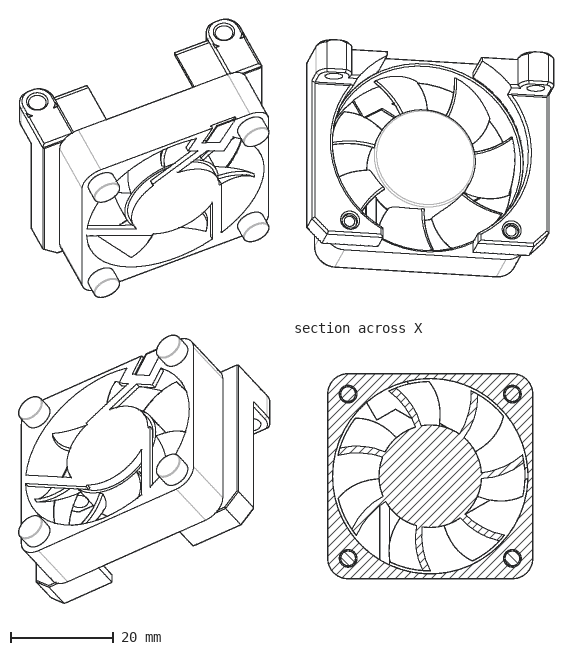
import cadquery as cq
import math


frame_size = 40.0
frame_depth = 10.5
corner_radius = 4.0
hole_pitch = 32.0
frame_hole_diameter = 3.4
bore_diameter = 38.0
bore_chamfer = 0.38

wire_angle = 60
wire_slot_width = 4.4
wire_slot_depth = 0.65
wire_slot_inner_radius = 16.9
wire_slot_offset = 0.9
wire_cover_width = 3.55
wire_cover_thickness = 0.2
wire_pad_width = 8.95
wire_pad_inner_radius = 14.65
wire_pad_thickness = 0.95

strut_count = 3
strut_width = 1.97
strut_thickness = 0.95
strut_offset = 8.9
motor_diameter = 18.8
motor_depth = 1.9
hub_diameter = 20.0
hub_fillet = 0.38

blade_count = 7
blade_angle = 27
blade_tip_diameter = 36.95
blade_thickness = 0.65
blade_bulge = 1.18
blade_sections = [
    (8.45, (-1.85, 1.6), (3.4, 8)),
    (13.65, (-3.45, 1.6), (4.55, 8)),
    (19.25, (-7.85, 1.6), (2.8, 8)),
]

bracket_inner_y = 9.4
bracket_outer_y = 23.5
bracket_bottom_z = -19.0
bracket_top_z = 18.0
bracket_corner_cut = 3.0
bracket_bore_diameter = 38.8
plate_depth = 6.2
block_depth = 10.5
block_bottom_z = 12.0
block_slope_depth = 0.8
block_slope_drop = 0.3
edge_chamfer = 0.5
back_chamfer = 0.25
gusset_size = 0.25

ear_width = 7.0
ear_front_x = -13.4
ear_rail_front_x = -7.8
ear_rail_back_x = -0.3
ear_notch_depth = 0.15
ear_hole_diameter = 3.45
ear_hole_chamfer = 0.38

screw_diameter = 2.9
screw_length = 16
screw_tip_chamfer = 0.4
screw_head_diameter = 5.5
screw_head_height = 3.0
screw_head_fillet = 0.15
screw_hole_diameter = 3.0
screw_hole_chamfer = 0.38

half_pitch = hole_pitch / 2
ear_top_z = bracket_top_z + edge_chamfer
ear_center_y = bracket_outer_y - ear_width / 2
screw_tip_x = frame_depth - screw_length


def cylinder(diameter, start_x, end_x):
    """A cylinder along the fan axis."""
    return cq.Workplane("YZ", origin=(start_x, 0, 0)).circle(diameter / 2).extrude(end_x - start_x)


def box(x_range, y_range, z_range):
    """A box between two places along each axis."""
    size = [high - low for low, high in (x_range, y_range, z_range)]
    corner = (x_range[0], y_range[0], z_range[0])
    return cq.Workplane("XY", origin=corner).box(*size, centered=False)


def around_axis(shape, angle):
    """The shape turned about the fan axis, from +Y towards +Z."""
    return shape.rotate((0, 0, 0), (1, 0, 0), angle)


def make_frame():
    """The square frame with its bore and four screw holes."""
    frame = (
        cq.Workplane("YZ")
        .rect(frame_size, frame_size)
        .extrude(frame_depth)
        .edges("|X")
        .fillet(corner_radius)
        .faces("<X")
        .workplane(origin=(0, 0, 0))
        .rect(hole_pitch, hole_pitch, forConstruction=True)
        .vertices()
        .hole(frame_hole_diameter)
    )
    frame = frame.cut(cylinder(bore_diameter, 0, frame_depth))
    bore_edge = cq.selectors.RadiusNthSelector(-1)
    return frame.faces("<X").edges(bore_edge).chamfer(bore_chamfer)


def make_motor_mount():
    """The motor base, its tangential struts and the pad under the wires."""
    mount = cylinder(motor_diameter, frame_depth - motor_depth, frame_depth)
    strut_x = (frame_depth - strut_thickness, frame_depth)
    strut_y = (strut_offset - strut_width / 2, strut_offset + strut_width / 2)
    reach = (bore_diameter + bore_chamfer) / 2
    strut = box(strut_x, strut_y, (-reach, 0)).intersect(cylinder(2 * reach, 0, frame_depth))
    for index in range(strut_count):
        mount = mount.union(around_axis(strut, index * 360 / strut_count))

    pad_x = (frame_depth - wire_pad_thickness, frame_depth)
    pad_side = (wire_slot_offset - wire_pad_width / 2, wire_slot_offset + wire_pad_width / 2)
    pad = box(pad_x, (wire_pad_inner_radius, reach), pad_side)
    return mount.union(around_axis(pad, wire_angle).intersect(cylinder(2 * reach, 0, frame_depth)))


def blade_section(distance, leading, trailing):
    """The bowed outline of a blade at one distance from the fan axis."""
    (lead_t, lead_x), (trail_t, trail_x) = leading, trailing
    chord_t = trail_t - lead_t
    chord_x = trail_x - lead_x
    chord = math.hypot(chord_t, chord_x)
    normal_t = chord_x / chord
    normal_x = -chord_t / chord
    middle_t = (lead_t + trail_t) / 2 + blade_bulge * normal_t
    middle_x = (lead_x + trail_x) / 2 + blade_bulge * normal_x
    back_t = blade_thickness * normal_t
    back_x = blade_thickness * normal_x
    round_t = lead_t - (back_t + blade_thickness * chord_t / chord) / 2
    round_x = lead_x - (back_x + blade_thickness * chord_x / chord) / 2
    plane = cq.Plane(origin=(0, distance, 0), xDir=(0, 0, 1), normal=(0, 1, 0))
    return (
        cq.Workplane(plane)
        .moveTo(lead_t, lead_x)
        .threePointArc((middle_t, middle_x), (trail_t, trail_x))
        .lineTo(trail_t - back_t, trail_x - back_x)
        .threePointArc((middle_t - back_t, middle_x - back_x), (lead_t - back_t, lead_x - back_x))
        .threePointArc((round_t, round_x), (lead_t, lead_x))
        .wire()
        .val()
    )


def make_rotor():
    """The hub with its ring of blades."""
    rotor = cylinder(hub_diameter, 0, frame_depth - motor_depth).faces("<X").edges().fillet(hub_fillet)
    outlines = [blade_section(*section) for section in blade_sections]
    blade = cq.Workplane(cq.Solid.makeLoft(outlines))
    blade = blade.intersect(cylinder(blade_tip_diameter, 0, frame_depth))
    for index in range(blade_count):
        rotor = rotor.union(around_axis(blade, blade_angle + index * 360 / blade_count))
    return rotor


def make_wire_slot():
    """The slot that leads the wires out of the frame, partly closed at the back by a thin cover."""
    slot_x = (frame_depth - wire_slot_depth, frame_depth)
    slot_reach = (wire_slot_inner_radius, frame_size)
    slot_start = wire_slot_offset - wire_slot_width / 2
    slot = box(slot_x, slot_reach, (slot_start, slot_start + wire_slot_width))
    cover_x = (frame_depth - wire_cover_thickness, frame_depth)
    cover = box(cover_x, slot_reach, (slot_start, slot_start + wire_cover_width))
    return around_axis(slot.cut(cover), wire_angle)


def make_fan():
    """The whole fan: frame, motor mount and rotor."""
    return make_frame().union(make_motor_mount()).cut(make_wire_slot()).union(make_rotor())


def make_bracket_plate():
    """The plate along the side of the fan, with its front edges chamfered."""
    y_range = (bracket_inner_y, bracket_outer_y)
    return (
        box((-plate_depth, 0), y_range, (bracket_bottom_z, bracket_top_z))
        .edges("|X and >Y and <Z")
        .chamfer(bracket_corner_cut)
        .cut(cylinder(bracket_bore_diameter, -plate_depth, 0))
        .faces("<X")
        .edges()
        .chamfer(edge_chamfer)
    )


def make_bracket_block():
    """The thick block across the top of the plate."""
    profile = [
        (0, block_bottom_z),
        (edge_chamfer - block_depth, block_bottom_z),
        (-block_depth, block_bottom_z + edge_chamfer),
        (-block_depth, bracket_top_z - block_slope_drop),
        (block_slope_depth - block_depth, bracket_top_z),
        (0, bracket_top_z),
    ]
    block = (
        cq.Workplane("XZ", origin=(0, bracket_inner_y, 0))
        .polyline(profile)
        .close()
        .extrude(bracket_inner_y - bracket_outer_y)
    )
    block = block.edges("|X and <Z and >Y").chamfer(edge_chamfer)
    return block.cut(cylinder(bracket_bore_diameter, -block_depth, 0))


def make_bracket_gusset():
    """A small bevel in the corner between the plate and the underside of the block."""
    profile = [
        (-plate_depth, block_bottom_z - gusset_size),
        (-plate_depth - gusset_size, block_bottom_z),
        (-plate_depth + edge_chamfer, block_bottom_z),
        (-plate_depth + edge_chamfer, block_bottom_z - gusset_size),
    ]
    end_y = bracket_outer_y - edge_chamfer
    return (
        cq.Workplane("XZ", origin=(0, bracket_inner_y, 0))
        .polyline(profile)
        .close()
        .extrude(bracket_inner_y - end_y)
        .cut(cylinder(bracket_bore_diameter + 2 * edge_chamfer, -block_depth, 0))
    )


def make_bracket_ear():
    """The rounded ear at the front of the block and the rail that runs back from it."""
    height = ear_top_z - block_bottom_z
    y_range = (bracket_outer_y - ear_width, bracket_outer_y)
    boss = cq.Workplane("XY", origin=(-block_depth, ear_center_y, block_bottom_z))
    boss = boss.circle(ear_width / 2).extrude(height)
    rail = box((-block_depth, ear_rail_back_x), y_range, (block_bottom_z, ear_top_z))
    ear = boss.union(rail).faces(">Z").edges().chamfer(edge_chamfer)
    ear = ear.intersect(box((ear_front_x, 0), y_range, (block_bottom_z, ear_top_z)))
    ear = ear.faces("<Z").edges().chamfer(edge_chamfer)

    notch = box((-block_depth, ear_rail_front_x), y_range, (ear_top_z - ear_notch_depth, ear_top_z))
    return ear.cut(notch.cut(boss))


def cut_ear_hole(bracket):
    """The upright hole through the ear, chamfered at its top."""
    countersink_radius = ear_hole_diameter / 2 + ear_hole_chamfer
    hole = (
        cq.Workplane("XY", origin=(-block_depth, ear_center_y, block_bottom_z))
        .circle(ear_hole_diameter / 2)
        .extrude(ear_top_z - block_bottom_z)
    )
    cone = cq.Solid.makeCone(
        countersink_radius,
        ear_hole_diameter / 2,
        ear_hole_chamfer,
        pnt=cq.Vector(-block_depth, ear_center_y, ear_top_z),
        dir=cq.Vector(0, 0, -1),
    )
    return bracket.cut(hole).cut(cq.Workplane(cone))


def cut_screw_holes(bracket):
    """A chamfered through hole low in the plate and a blind hole in the block."""
    through_hole = cylinder(screw_hole_diameter, -plate_depth, 0)
    cone = cq.Solid.makeCone(
        screw_hole_diameter / 2 + screw_hole_chamfer,
        screw_hole_diameter / 2,
        screw_hole_chamfer,
        pnt=cq.Vector(-plate_depth, 0, 0),
        dir=cq.Vector(1, 0, 0),
    )
    through_hole = through_hole.union(cq.Workplane(cone))
    blind_hole = cylinder(screw_hole_diameter, -plate_depth, 0)
    bracket = bracket.cut(through_hole.translate((0, half_pitch, -half_pitch)))
    return bracket.cut(blind_hole.translate((0, half_pitch, half_pitch)))


def make_bracket():
    """The bracket on the +Y side."""
    bracket = make_bracket_plate().union(make_bracket_block())
    bracket = bracket.faces(">X").edges("not >Z").chamfer(back_chamfer)
    bracket = bracket.union(make_bracket_gusset()).union(make_bracket_ear())
    return cut_screw_holes(cut_ear_hole(bracket))


def make_screw():
    """A screw along X with its head on the back of the frame."""
    shank = cylinder(screw_diameter, screw_tip_x, frame_depth).faces("<X").chamfer(screw_tip_chamfer)
    head = cylinder(screw_head_diameter, frame_depth, frame_depth + screw_head_height)
    return shank.union(head.edges().fillet(screw_head_fillet))


fan = make_fan()
bracket = make_bracket()
brackets = [bracket, bracket.mirror("XZ")]
screws = [
    make_screw().translate((0, y, z))
    for y in (-half_pitch, half_pitch)
    for z in (-half_pitch, half_pitch)
]

bodies = [fan, *brackets, *screws]
result = cq.Compound.makeCompound([body.solids().val() for body in bodies])